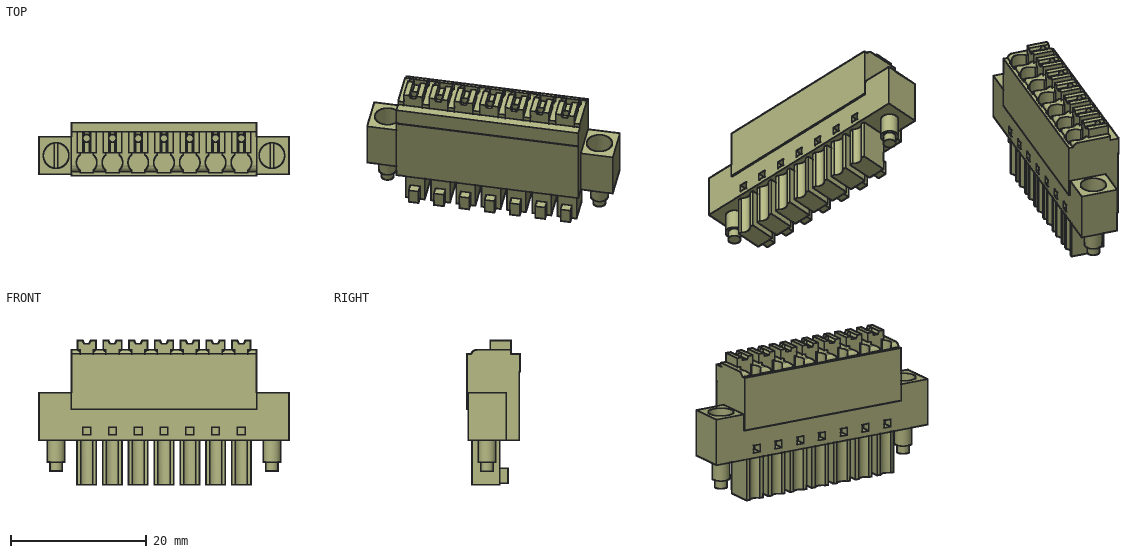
import cadquery as cq


pole_count = 7
pole_pitch = 3.8
pole_positions = [(i - (pole_count - 1) / 2) * pole_pitch for i in range(pole_count)]

flange_length = 37.05
flange_width = 5.6
flange_height = 7.08
flange_front = -flange_width / 2

body_length = 27.42
body_front = -3.0
body_back = 4.9
body_lower_back = 4.78
front_step_z = 4.6
back_step_z = 10.15
shoulder_z = 12.8
ridge_z = 13.4
ridge_back = 3.55
ridge_round_start = -1.52
ridge_round_radius = 0.9

wire_hole_diameter = 3.05
wire_slot_width = 1.95
wire_hole_y = -1.05
wire_hole_front = -2.52

cavity_floor_z = 11.53

button_width = 2.78
button_front = 0.45
button_length = ridge_back - button_front
button_top_z = 14.8
button_groove_depth = 0.5
button_groove_top_width = 1.15
button_groove_floor_width = 0.7
button_hole_diameter = 1.15
button_hole_y = 2.55
button_hole_depth = 1.5

window_size = 1.15
window_center_z = 1.37
window_depth = 1.5

leg_width = 2.9
leg_front = -2.25
leg_back = 1.9
leg_height = 6.6
leg_groove_width = 1.78
leg_groove_depth = 0.45
lug_width = 1.5
lug_back = 3.1
lug_top_z = -4.1
lug_bottom_z = -6.37

screw_positions = [-15.97, 15.97]
head_diameter = 3.78
head_seat_z = 1.1
head_height = 2.22
shank_diameter = 2.63
shank_end_z = -3.22
tip_diameter = 1.85
tip_end_z = -4.55
slot_width = 0.55
slot_depth = 0.55


def block(x_center, length, y_front, y_back, z_bottom, z_top):
    """Box given by its middle and length in X and by its limits in Y and Z."""
    size_y = y_back - y_front
    size_z = z_top - z_bottom
    center = (x_center, y_front + size_y / 2, z_bottom + size_z / 2)
    return cq.Workplane("XY").box(length, size_y, size_z).translate(center)


def post(x, y, diameter, z_bottom, z_top):
    """Vertical cylinder between two heights."""
    base = cq.Workplane("XY", origin=(x, y, z_bottom))
    return base.circle(diameter / 2).extrude(z_top - z_bottom)


def ridge_round_y(drop):
    """Y on the rounded front edge of the ridge, at a given drop below its top."""
    return ridge_round_start - (drop * (2 * ridge_round_radius - drop)) ** 0.5


def make_body():
    """Main block: one side profile with a rounded ridge on top, extruded along X."""
    ridge_height = ridge_z - shoulder_z
    return (
        cq.Workplane("YZ", origin=(-body_length / 2, 0, 0))
        .moveTo(flange_front, 0)
        .lineTo(flange_front, front_step_z)
        .lineTo(body_front, front_step_z)
        .lineTo(body_front, shoulder_z)
        .lineTo(ridge_round_y(ridge_height), shoulder_z)
        .threePointArc(
            (ridge_round_y(ridge_height / 4), ridge_z - ridge_height / 4),
            (ridge_round_start, ridge_z),
        )
        .lineTo(ridge_back, ridge_z)
        .lineTo(ridge_back, shoulder_z)
        .lineTo(body_back, shoulder_z)
        .lineTo(body_back, back_step_z)
        .lineTo(body_lower_back, back_step_z)
        .lineTo(body_lower_back, 0)
        .close()
        .extrude(body_length)
    )


def make_leg(x):
    """Plug leg with a rounded groove down its front and a lug low on its back."""
    leg = block(x, leg_width, leg_front, leg_back, -leg_height, 0)
    lug = block(x, lug_width, leg_back, lug_back, lug_bottom_z, lug_top_z)
    groove = (
        cq.Workplane("XY", origin=(x, leg_front, -leg_height))
        .moveTo(-leg_groove_width / 2, 0)
        .threePointArc((0, leg_groove_depth), (leg_groove_width / 2, 0))
        .close()
        .extrude(leg_height)
    )
    return leg.union(lug).cut(groove)


def make_wire_hole(x):
    """Round wire entry widened by a straight slot, from its flat front to the face of the button."""
    hole = post(x, wire_hole_y, wire_hole_diameter, cavity_floor_z, ridge_z)
    slot = block(x, wire_slot_width, wire_hole_front, button_front, cavity_floor_z, ridge_z)
    limits = block(x, wire_hole_diameter, wire_hole_front, button_front, cavity_floor_z, ridge_z)
    return hole.intersect(limits).union(slot)


def make_housing():
    """Body, flange and legs, with the openings for wires, buttons and screws."""
    flange = block(0, flange_length, flange_front, -flange_front, 0, flange_height)
    housing = make_body().union(flange)
    for x in pole_positions:
        housing = housing.union(make_leg(x))
    for x in pole_positions:
        window = block(
            x,
            window_size,
            flange_front,
            flange_front + window_depth,
            window_center_z - window_size / 2,
            window_center_z + window_size / 2,
        )
        pocket = block(x, button_width, button_front, ridge_back, cavity_floor_z, ridge_z)
        housing = housing.cut(make_wire_hole(x)).cut(pocket).cut(window)
    for x in screw_positions:
        head_bore = post(x, 0, head_diameter, head_seat_z, flange_height)
        shank_bore = post(x, 0, shank_diameter, 0, head_seat_z)
        housing = housing.cut(head_bore).cut(shank_bore)
    return housing


def make_button(x):
    """Push button with a tapered groove and a round tool hole in its top."""
    button = block(x, button_width, button_front, ridge_back, cavity_floor_z, button_top_z)
    groove_floor_z = button_top_z - button_groove_depth
    groove = (
        cq.Workplane("XZ", origin=(x, ridge_back, 0))
        .moveTo(-button_groove_top_width / 2, button_top_z)
        .lineTo(-button_groove_floor_width / 2, groove_floor_z)
        .lineTo(button_groove_floor_width / 2, groove_floor_z)
        .lineTo(button_groove_top_width / 2, button_top_z)
        .close()
        .extrude(button_length)
    )
    hole_floor_z = groove_floor_z - button_hole_depth
    tool_hole = post(x, button_hole_y, button_hole_diameter, hole_floor_z, button_top_z)
    return button.cut(groove).cut(tool_hole)


def make_screw(x):
    """Slotted screw with a stepped shank that ends in a narrower tip."""
    head_top_z = head_seat_z + head_height
    head_radius = head_diameter / 2
    head = post(x, 0, head_diameter, head_seat_z, head_top_z)
    shank = post(x, 0, shank_diameter, shank_end_z, head_seat_z)
    tip = post(x, 0, tip_diameter, tip_end_z, shank_end_z)
    slot = block(x, slot_width, -head_radius, head_radius, head_top_z - slot_depth, head_top_z)
    return head.union(shank).union(tip).cut(slot)


housing = make_housing()
buttons = [make_button(x) for x in pole_positions]
screws = [make_screw(x) for x in screw_positions]

result = cq.Compound.makeCompound(
    [
        housing.val(),
        *[button.val() for button in buttons],
        *[screw.val() for screw in screws],
    ]
)